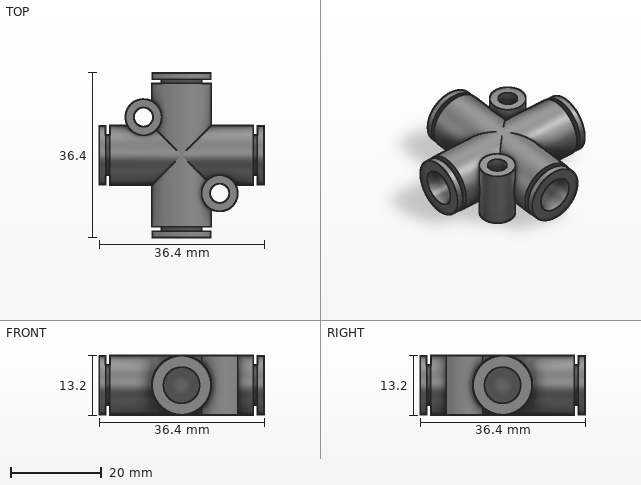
import cadquery as cq

overall_length = 36.4
body_diameter = 13.2
body_length = 31.65

collar_diameter = 13.0
collar_thickness = 1.45
neck_diameter = 8.95

socket_diameter = 8.0
socket_depth = 10.92

boss_diameter = 8.0
boss_hole_diameter = 4.2
boss_offset = 8.4
boss_centers = [(-boss_offset, boss_offset), (boss_offset, -boss_offset)]

arm_reach = overall_length / 2
arm_angles = (0, 90, 180, 270)


def cylinder_along_x(diameter, start, end):
    """Cylinder on the X axis between two X positions."""
    return cq.Workplane("YZ", origin=(start, 0, 0)).circle(diameter / 2).extrude(end - start)


def turned_to(shape, angle):
    """Shape turned about the Z axis."""
    return shape.rotate((0, 0, 0), (0, 0, 1), angle)


def vertical_cylinders(diameter):
    """Full-height cylinders at the boss centers."""
    plane = cq.Workplane("XY", origin=(0, 0, -body_diameter / 2))
    return plane.pushPoints(boss_centers).circle(diameter / 2).extrude(body_diameter)


body = cylinder_along_x(body_diameter, -body_length / 2, body_length / 2)
result = body.union(turned_to(body, 90))

result = result.union(vertical_cylinders(boss_diameter))
result = result.cut(vertical_cylinders(boss_hole_diameter))

neck = cylinder_along_x(neck_diameter, body_length / 2, arm_reach)
collar = cylinder_along_x(collar_diameter, arm_reach - collar_thickness, arm_reach)
arm_end = neck.union(collar)
socket = cylinder_along_x(socket_diameter, arm_reach - socket_depth, arm_reach)
for arm_angle in arm_angles:
    result = result.union(turned_to(arm_end, arm_angle))
    result = result.cut(turned_to(socket, arm_angle))